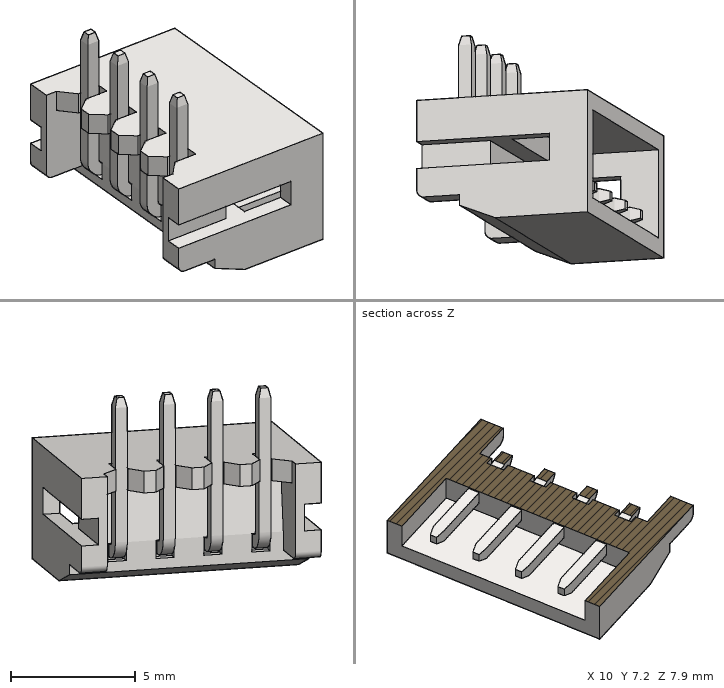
import cadquery as cq


width = 10.0
depth = 7.2
height = 5.0
cheek_thickness = 1.07
wall_thickness = 0.7
cavity_start = 3.8

ledge_front = 1.8
ledge_top = 1.78
arm_bottom = 1.03
arm_edge_radius = 0.3
skirt_bottom = 0.6
skirt_back = 3.3
slab_bottom = 4.1

tooth_front = 0.5
tooth_tip_half_width = 0.25
notch_mouth = 1.1
notch_back = 2.14

slot_bottom = 2.21
slot_top = 3.31
slot_back = 5.6
window_front = 2.88

pin_count = 4
pitch = 2.0
pin_width = 0.5
pin_thickness = 0.55
pin_front = 1.2
pin_top = 7.9
pin_bottom = 1.15
pin_end = 6.9
bend_radius = 0.8
tip_length = 0.4
tip_taper = 0.1

pocket_width = 0.76
pocket_bottom = arm_bottom

pin_positions = [pitch * (i - (pin_count - 1) / 2) for i in range(pin_count)]
inner_half_width = width / 2 - cheek_thickness


def box(x_range, y_range, z_range):
    """Box spanning the given (low, high) ranges."""
    size = [high - low for low, high in (x_range, y_range, z_range)]
    corner = (x_range[0], y_range[0], z_range[0])
    return cq.Workplane("XY").box(*size, centered=False).translate(corner)


def side_profile(points, half_width):
    """Extrude a YZ outline symmetrically about X = 0."""
    return cq.Workplane("YZ").polyline(points).close().extrude(half_width, both=True)


def make_block():
    """Full-width block with the stepped and sloped underside."""
    block = side_profile(
        [
            (0, arm_bottom),
            (ledge_front, arm_bottom),
            (ledge_front, skirt_bottom),
            (skirt_back, 0),
            (depth, 0),
            (depth, height),
            (0, height),
        ],
        width / 2,
    )
    lower_front_edge = cq.selectors.NearestToPointSelector((0, 0, arm_bottom))
    return block.edges(lower_front_edge).fillet(arm_edge_radius)


def make_front_recess():
    """Space between the cheeks in front of the sloped wall, below the top slab."""
    return side_profile(
        [
            (0, 0),
            (ledge_front, 0),
            (ledge_front, ledge_top),
            (notch_back, slab_bottom),
            (0, slab_bottom),
        ],
        inner_half_width,
    )


def make_tooth_gaps():
    """Cutter that shapes the front edge of the top slab into teeth."""
    notch_half = pin_width / 2
    points = [(-inner_half_width, 0), (-inner_half_width, tooth_front)]
    for x in pin_positions:
        if x != pin_positions[0]:
            points.append((x - pitch / 2 + tooth_tip_half_width, tooth_front))
        points.append((x - notch_half, notch_mouth))
        points.append((x - notch_half, notch_back))
        points.append((x + notch_half, notch_back))
        points.append((x + notch_half, notch_mouth))
        if x != pin_positions[-1]:
            points.append((x + pitch / 2 - tooth_tip_half_width, tooth_front))
    points += [(inner_half_width, tooth_front), (inner_half_width, 0)]
    cutter = cq.Workplane("XY").polyline(points).close().extrude(height - slab_bottom)
    return cutter.translate((0, 0, slab_bottom))


def make_cavity():
    """Mating cavity, open towards +Y."""
    half = width / 2 - wall_thickness
    return box((-half, half), (cavity_start, depth), (wall_thickness, height - wall_thickness))


def make_side_slots():
    """Grooves along both cheeks, joined by a window through the whole housing."""
    slot_z = (slot_bottom, slot_top)
    outside = width / 2
    groove_floor = outside - wall_thickness
    window = box((-outside, outside), (window_front, slot_back), slot_z)
    left = box((-outside, -groove_floor), (0, slot_back), slot_z)
    right = box((groove_floor, outside), (0, slot_back), slot_z)
    return window.union(left).union(right)


def make_pocket(x):
    """Recess in the ledge around one pin bend."""
    half = pocket_width / 2
    return box((x - half, x + half), (ledge_front, notch_back), (pocket_bottom, ledge_top))


def make_tip(plane):
    """Tapered pin end that grows along the normal of the given plane."""
    return (
        cq.Workplane(plane)
        .rect(pin_width, pin_thickness)
        .workplane(offset=tip_length)
        .rect(pin_width - 2 * tip_taper, pin_thickness - 2 * tip_taper)
        .loft(ruled=True)
    )


def make_pin(x):
    """L-shaped pin with a rounded bend and tapered ends."""
    shaft_top = pin_top - tip_length
    leg_end = pin_end - tip_length
    pin_back = pin_front + pin_thickness
    leg_top = pin_bottom + pin_thickness
    inner_radius = bend_radius - pin_thickness
    bar = side_profile(
        [
            (pin_front, pin_bottom),
            (leg_end, pin_bottom),
            (leg_end, leg_top),
            (pin_back, leg_top),
            (pin_back, shaft_top),
            (pin_front, shaft_top),
        ],
        pin_width / 2,
    )
    outer_corner = cq.selectors.NearestToPointSelector((0, pin_front, pin_bottom))
    inner_corner = cq.selectors.NearestToPointSelector((0, pin_back, leg_top))
    bar = bar.edges(outer_corner).fillet(bend_radius)
    bar = bar.edges(inner_corner).fillet(inner_radius)

    shaft_center = (0, pin_front + pin_thickness / 2, shaft_top)
    leg_center = (0, leg_end, pin_bottom + pin_thickness / 2)
    upper_tip = make_tip(cq.Plane(shaft_center, xDir=(1, 0, 0), normal=(0, 0, 1)))
    leg_tip = make_tip(cq.Plane(leg_center, xDir=(1, 0, 0), normal=(0, 1, 0)))
    return bar.union(upper_tip).union(leg_tip).translate((x, 0, 0))


housing = make_block()
for cutter in (make_front_recess(), make_tooth_gaps(), make_cavity(), make_side_slots()):
    housing = housing.cut(cutter)
for position in pin_positions:
    housing = housing.cut(make_pocket(position))

result = housing
for position in pin_positions:
    result = result.union(make_pin(position))